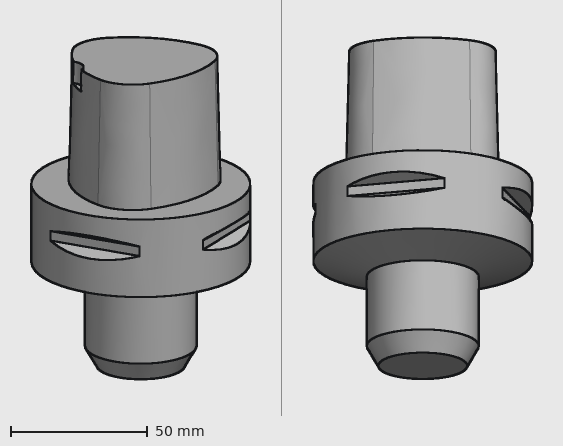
import cadquery as cq
import math

total_height = 118.0
shank_height = 48.0
flange_height = 30.0
flange_cone_height = 6.0
tip_chamfer_height = 7.5
flange_top = total_height - shank_height
flange_bottom = flange_top - flange_height
pilot_top = flange_bottom - flange_cone_height

flange_radius = 80.0 / 2
pilot_radius = 41.0 / 2
tip_radius = 32.5 / 2

lobe_count = 3
lobe_reach = 29.7
flank_reach = 25.6
lobe_radius = 16.8
shank_inset = 1.2

notch_radius = 6.5
notch_back = 22.1
notch_depth = 8.3

groove_count = 4
groove_floor_distance = 35.5
groove_floor_height = 3.7
groove_center_height = 57.7
groove_wall_angle = 30.0


def polar(radius, angle):
    """Point at the given radius and angle in degrees."""
    return radius * math.cos(math.radians(angle)), radius * math.sin(math.radians(angle))


def shank_outline(inset):
    """Outline of tangent lobe and flank arcs, moved inward by the inset.

    The flank centers lie across the axis, at the distance that makes
    each flank arc tangent to the lobe arcs beside it.
    """
    lobe_offset = lobe_reach - lobe_radius
    reach_gap = flank_reach - lobe_radius
    flank_offset = (lobe_offset**2 - reach_gap**2) / (2 * reach_gap - lobe_offset)
    half_pitch = math.radians(180 / lobe_count)

    flank_center_along = -flank_offset * math.cos(half_pitch)
    flank_center_across = -flank_offset * math.sin(half_pitch)
    normal_angle = math.atan2(-flank_center_across, lobe_offset - flank_center_along)
    joint_along = lobe_offset + (lobe_radius - inset) * math.cos(normal_angle)
    joint_across = (lobe_radius - inset) * math.sin(normal_angle)
    joint_reach = math.hypot(joint_along, joint_across)
    joint_angle = math.degrees(math.atan2(joint_across, joint_along))

    pitch = 360 / lobe_count
    first_lobe = 90
    outline = cq.Workplane("XY").moveTo(*polar(joint_reach, first_lobe - joint_angle))
    for index in range(lobe_count):
        lobe = first_lobe + index * pitch
        outline = outline.threePointArc(
            polar(lobe_reach - inset, lobe), polar(joint_reach, lobe + joint_angle)
        )
        outline = outline.threePointArc(
            polar(flank_reach - inset, lobe + pitch / 2),
            polar(joint_reach, lobe + pitch - joint_angle),
        )
    return outline.close().wire().val()


def make_body():
    """Pilot, cone and flange turned about the Z axis."""
    profile = [
        (0, 0),
        (tip_radius, 0),
        (pilot_radius, tip_chamfer_height),
        (pilot_radius, pilot_top),
        (flange_radius, flange_bottom),
        (flange_radius, flange_top),
        (0, flange_top),
    ]
    return cq.Workplane("XZ").polyline(profile).close().revolve(360, (0, 0), (0, 1))


def make_shank():
    """Tapered three-lobed shank standing on the flange."""
    base = shank_outline(0).translate(cq.Vector(0, 0, flange_top))
    top = shank_outline(shank_inset).translate(cq.Vector(0, 0, total_height))
    return cq.Workplane(cq.Solid.makeLoft([base, top], True))


def make_notch():
    """Vertical round cutter for the notch on the -Y flank."""
    return (
        cq.Workplane("XY", origin=(0, -notch_back - notch_radius, total_height - notch_depth))
        .circle(notch_radius)
        .extrude(notch_depth)
    )


def make_groove():
    """Straight groove cutter on the +X side, with a flat floor and sloping walls."""
    depth = flange_radius - groove_floor_distance
    half_floor = groove_floor_height / 2
    half_mouth = half_floor + depth * math.tan(math.radians(groove_wall_angle))
    profile = [
        (groove_floor_distance, groove_center_height - half_floor),
        (flange_radius, groove_center_height - half_mouth),
        (flange_radius, groove_center_height + half_mouth),
        (groove_floor_distance, groove_center_height + half_floor),
    ]
    return cq.Workplane("XZ").polyline(profile).close().extrude(flange_radius, both=True)


result = make_body().union(make_shank()).cut(make_notch())
groove_pitch = 360 / groove_count
for groove_index in range(groove_count):
    groove_angle = (groove_index + 0.5) * groove_pitch
    result = result.cut(make_groove().rotate((0, 0, 0), (0, 0, 1), groove_angle))